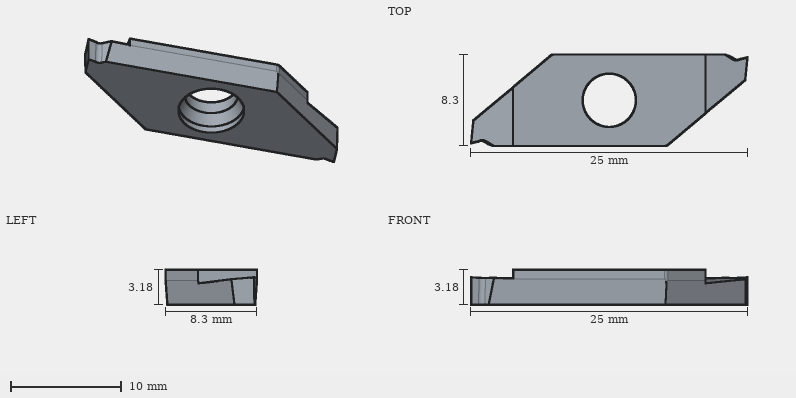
import cadquery as cq
import math

length = 25.0
width = 8.3
height = 3.18
half_length = length / 2
half_width = width / 2

corner_x = 5.18
corner_radius = 0.5
diagonal_angle = 40.0
tip_y = 3.85
end_edge_x = 12.3
end_edge_y = (end_edge_x - corner_x) * math.tan(math.radians(diagonal_angle)) - half_width

long_flank_top = 2.35
long_flank_angle = 4.2
diagonal_flank_top = 2.2
diagonal_flank_angle = 5.0

plate_half_length = 8.7
rake_tip_height = 2.5
rake_slope_x = 0.033
rake_slope_y = 0.085

form_start = (-11.75, -3.68)
form_middle = (-11.45, -3.6)
form_end = (-11.18, -3.7)
form_exit = (-10.42, -half_width)
form_tilt = 2.0
form_relief = 1.5
form_top = rake_tip_height

hole_diameter = 4.8
lower_bore_diameter = 5.95
lower_bore_depth = 0.75
cone_top = 1.85

margin = 1.25


def cut_both_ends(body, cutter):
    """Cut with the tool and with its copy turned half a turn about Z."""
    opposite = cutter.rotate((0, 0, 0), (0, 0, 1), 180)
    return body.cut(cutter).cut(opposite)


def make_blank():
    outline = [
        (-half_length, -tip_y),
        (-half_length, -half_width),
        (corner_x, -half_width),
        (end_edge_x, end_edge_y),
        (half_length, tip_y),
        (half_length, half_width),
        (-corner_x, half_width),
        (-end_edge_x, -end_edge_y),
    ]
    blank = cq.Workplane("XY").polyline(outline).close().extrude(height)
    corners = cq.selectors.BoxSelector(
        (-corner_x - margin, -half_width - margin, 0), (corner_x + margin, half_width + margin, height)
    )
    return blank.edges("|Z").edges(corners).fillet(corner_radius)


def make_flank_cutter(flank_top, flank_angle, direction):
    """Wedge that undercuts a side running through the blank's lower right corner."""
    inset = flank_top * math.tan(math.radians(flank_angle))
    wedge = (
        cq.Workplane("YZ")
        .polyline([(0, flank_top), (inset, 0), (inset, -margin), (-margin, -margin), (-margin, flank_top)])
        .close()
        .extrude(length, both=True)
    )
    return wedge.rotate((0, 0, 0), (0, 0, 1), direction).translate((corner_x, -half_width, 0))


def make_rake_cutter():
    """Block above the sloping rake face at the left tip."""
    def rake_height(x, y):
        rise_x = -rake_slope_x * (x + half_length)
        rise_y = -rake_slope_y * (y + tip_y)
        return rake_tip_height + rise_x + rise_y

    outer = -half_length - margin
    inner = -plate_half_length
    reach = half_width + margin

    def section(y):
        points = [
            (outer, y, rake_height(outer, y)),
            (inner, y, rake_height(inner, y)),
            (inner, y, height + margin),
            (outer, y, height + margin),
        ]
        return cq.Wire.makePolygon([cq.Vector(*p) for p in points], close=True)

    return cq.Workplane(obj=cq.Solid.makeLoft([section(-reach), section(reach)], True))


def make_form_cutter():
    """Slightly tilted tool whose side grinds the concave form at the left tip."""
    lead_slope = (form_start[1] + tip_y) / (form_start[0] + half_length)
    outer_x = -half_length - margin
    outer_y = -tip_y - margin * lead_slope
    exit_slope = (form_exit[1] - form_end[1]) / (form_exit[0] - form_end[0])
    bottom_y = -half_width - margin
    bottom_x = form_exit[0] + (bottom_y - form_exit[1]) / exit_slope
    tool = (
        cq.Workplane("XY")
        .moveTo(outer_x, outer_y)
        .lineTo(*form_start)
        .threePointArc(form_middle, form_end)
        .lineTo(bottom_x, bottom_y)
        .lineTo(outer_x, bottom_y)
        .close()
        .extrude(height, both=True)
        .translate((0, 0, form_top))
    )
    tool = tool.rotate((form_end[0], 0, form_top), (form_end[0], 1, form_top), form_tilt)
    return tool.rotate((0, form_end[1], form_top), (1, form_end[1], form_top), -form_relief)


def make_hole():
    """Bore that widens through a cone into a larger bore at the underside."""
    hole_radius = hole_diameter / 2
    lower_radius = lower_bore_diameter / 2
    profile = [
        (0, 0),
        (lower_radius, 0),
        (lower_radius, lower_bore_depth),
        (hole_radius, cone_top),
        (hole_radius, height),
        (0, height),
    ]
    return cq.Workplane("XZ").polyline(profile).close().revolve(360, (0, 0), (0, 1))


result = make_blank()
result = cut_both_ends(result, make_flank_cutter(long_flank_top, long_flank_angle, 0))
result = cut_both_ends(result, make_flank_cutter(diagonal_flank_top, diagonal_flank_angle, diagonal_angle))
result = cut_both_ends(result, make_rake_cutter())
result = cut_both_ends(result, make_form_cutter())
result = result.cut(make_hole())